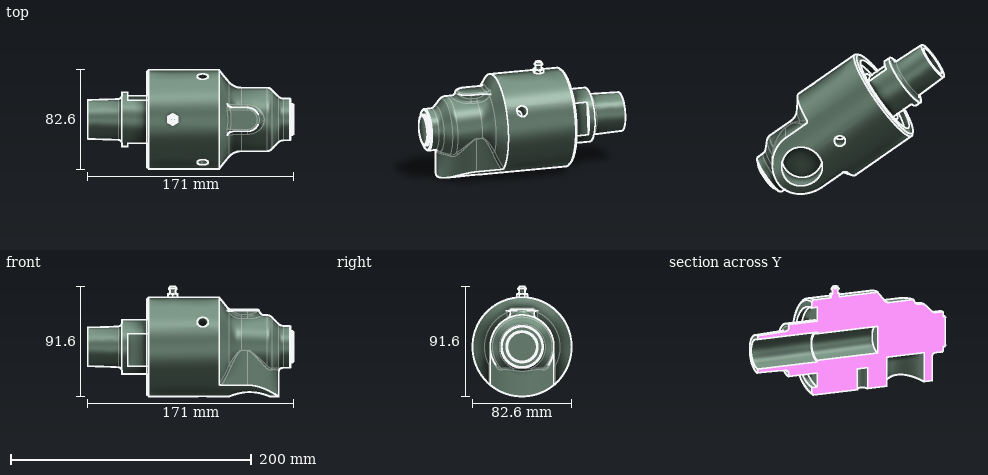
import cadquery as cq
import math

OVERALL_LENGTH = 171.0
OVERALL_HEIGHT = 91.57

NIPPLE_TIP_RADIUS = 16.25
NIPPLE_LENGTH = 25.3
PIPE_TAPER = 1 / 16
NIPPLE_FILLET = 3.1
COLLAR_RADIUS = 45.3 / 2
FLAT_START_X = 33.4
FLAT_END_X = 52.7
ACROSS_FLATS = 36.0
FLAT_TILT = 8.5

BODY_RADIUS = 82.6 / 2
BODY_START_X = 49.3
BODY_END_X = 109.1
BODY_CHAMFER = 1.6
RECESS_RADIUS = 34.2
RECESS_DEPTH = 5.0

NECK_RADIUS = 26.5
CONE_ANGLE = 51.0
SHOULDER_ANGLE = 45.0
NECK_FILLET_START_X = 117.1
NECK_END_X = 148.7
SHOULDER_FILLET = 5.7
END_BOSS_RADIUS = 35.0 / 2
END_BOSS_END_X = 168.8
END_BOSS_CHAMFER = 0.8
PILOT_RADIUS = 26.3 / 2
PILOT_CHAMFER = 1.0

BORE_RADIUS = 12.6
BORE_DEPTH = BODY_START_X + RECESS_DEPTH
INNER_BORE_RADIUS = 11.3
INNER_BORE_END_X = BODY_END_X

RADIAL_HOLE_DIAMETER = 9.0
RADIAL_HOLE_DEPTH = 18.0
RADIAL_HOLE_X = 95.6
RADIAL_HOLE_ANGLES = (30, 150, 270)

LUG_AXIS_X = 132.5
LUG_HALF_WIDTH = 26.35
LUG_FILLET = 2.5
PORT_X = 134.5
PORT_RADIUS = 16.9
PORT_DEPTH = 25.0

PAD_HEIGHT = 31.1
PAD_RADIUS = 10.0
PAD_TOP_FILLET = 2.0
PAD_BASE_FILLET = 4.0
PAD_STEP_FILLET = 3.5
PAD_STEP_END_X = 120.0

FITTING_X = 70.7
FITTING_EMBED = 1.0
HEX_ACROSS_FLATS = 8.0
HEX_TOP_Z = 43.9
HEX_CHAMFER = 0.5
HEX_TURN = 30
FITTING_NECK_RADIUS = 2.4
FITTING_FOOT_RADIUS = 3.0
FITTING_HEAD_RADIUS = 3.4
FITTING_TIP_RADIUS = 2.1
FITTING_HEAD_Z = 48.2
FITTING_HOLE_DIAMETER = 1.2
FITTING_HOLE_DEPTH = 1.5

TOLERANCE = 0.05


def x_cylinder(radius, start, end):
    """A cylinder on the rotor axis."""
    return cq.Workplane("YZ").workplane(offset=start).circle(radius).extrude(end - start)


def nipple_and_collar():
    """Tapered nipple and its collar, with two opposite wrench flats."""
    fillet_start_radius = NIPPLE_TIP_RADIUS + NIPPLE_LENGTH * PIPE_TAPER / 2
    collar_start = NIPPLE_LENGTH + NIPPLE_FILLET
    fillet_mid = NIPPLE_FILLET * math.sin(math.radians(45))
    collar_end = BODY_START_X + RECESS_DEPTH
    profile = (
        cq.Workplane("XY")
        .moveTo(0, 0)
        .lineTo(0, NIPPLE_TIP_RADIUS)
        .lineTo(NIPPLE_LENGTH, fillet_start_radius)
        .threePointArc(
            (NIPPLE_LENGTH + fillet_mid, fillet_start_radius + NIPPLE_FILLET - fillet_mid),
            (collar_start, fillet_start_radius + NIPPLE_FILLET),
        )
        .lineTo(collar_start, COLLAR_RADIUS)
        .lineTo(collar_end, COLLAR_RADIUS)
        .lineTo(collar_end, 0)
        .close()
    )
    solid = profile.revolve(360, (0, 0, 0), (1, 0, 0))
    flat_length = FLAT_END_X - FLAT_START_X
    for side in (1, -1):
        cutter = (
            cq.Workplane("XY")
            .box(flat_length, COLLAR_RADIUS, 2 * COLLAR_RADIUS)
            .translate(((FLAT_START_X + FLAT_END_X) / 2, side * (ACROSS_FLATS + COLLAR_RADIUS) / 2, 0))
            .rotate((0, 0, 0), (1, 0, 0), FLAT_TILT)
        )
        solid = solid.cut(cutter)
    return solid


def housing():
    """Body, cone, neck, shoulder and end boss as one turned solid."""
    cone = math.radians(CONE_ANGLE)
    cone_end_radius = BODY_RADIUS - (NECK_FILLET_START_X - BODY_END_X) * math.tan(cone)
    neck_fillet = (cone_end_radius - NECK_RADIUS) / (1 - math.cos(cone))
    neck_start = NECK_FILLET_START_X + neck_fillet * math.sin(cone)
    arc_mid = cone / 2

    shoulder = math.radians(SHOULDER_ANGLE)
    run = SHOULDER_FILLET * math.sin(shoulder)
    drop = SHOULDER_FILLET * (1 - math.cos(shoulder))
    mid_run = SHOULDER_FILLET * math.sin(shoulder / 2)
    mid_drop = SHOULDER_FILLET * (1 - math.cos(shoulder / 2))
    shoulder_length = (NECK_RADIUS - END_BOSS_RADIUS - 2 * drop) / math.tan(shoulder)
    cone_start = NECK_END_X + run
    boss_start = cone_start + shoulder_length + run

    return (
        cq.Workplane("XY")
        .moveTo(BODY_START_X, 0)
        .lineTo(BODY_START_X, BODY_RADIUS - BODY_CHAMFER)
        .lineTo(BODY_START_X + BODY_CHAMFER, BODY_RADIUS)
        .lineTo(BODY_END_X, BODY_RADIUS)
        .lineTo(NECK_FILLET_START_X, cone_end_radius)
        .threePointArc(
            (
                neck_start - neck_fillet * math.sin(arc_mid),
                NECK_RADIUS + neck_fillet * (1 - math.cos(arc_mid)),
            ),
            (neck_start, NECK_RADIUS),
        )
        .lineTo(NECK_END_X, NECK_RADIUS)
        .threePointArc((NECK_END_X + mid_run, NECK_RADIUS - mid_drop), (cone_start, NECK_RADIUS - drop))
        .lineTo(cone_start + shoulder_length, END_BOSS_RADIUS + drop)
        .threePointArc((boss_start - mid_run, END_BOSS_RADIUS + mid_drop), (boss_start, END_BOSS_RADIUS))
        .lineTo(END_BOSS_END_X - END_BOSS_CHAMFER, END_BOSS_RADIUS)
        .lineTo(END_BOSS_END_X, END_BOSS_RADIUS - END_BOSS_CHAMFER)
        .lineTo(END_BOSS_END_X, PILOT_RADIUS)
        .lineTo(OVERALL_LENGTH - PILOT_CHAMFER, PILOT_RADIUS)
        .lineTo(OVERALL_LENGTH, PILOT_RADIUS - PILOT_CHAMFER)
        .lineTo(OVERALL_LENGTH, 0)
        .close()
        .revolve(360, (0, 0, 0), (1, 0, 0))
    )


def edges_where(solid, test):
    """The edges of a solid whose bounding boxes pass a test."""
    return solid.newObject([edge for edge in solid.edges().vals() if test(edge.BoundingBox())])


def round_ended_bar(start_x, half_width, height):
    """A bar from start_x to a half-round end on the lug axis, standing or hanging on z = 0."""
    return (
        cq.Workplane("XY")
        .moveTo(start_x, half_width)
        .lineTo(LUG_AXIS_X, half_width)
        .threePointArc((LUG_AXIS_X + half_width, 0), (LUG_AXIS_X, -half_width))
        .lineTo(start_x, -half_width)
        .close()
        .extrude(height)
    )


def with_pad(solid):
    """Add the flat-topped pad, blended into the neck and the cone and rounded along its rim."""
    tall_height = PAD_HEIGHT + 2 * PAD_BASE_FILLET
    tall = solid.union(round_ended_bar(BODY_END_X, PAD_RADIUS, tall_height))

    def at_pad_base(box):
        on_pad = abs(box.ymax) < PAD_RADIUS + TOLERANCE and abs(box.ymin) < PAD_RADIUS + TOLERANCE
        along_neck = box.xmin > BODY_END_X + TOLERANCE and box.xmax < LUG_AXIS_X + PAD_RADIUS + TOLERANCE
        return on_pad and along_neck and box.xlen > TOLERANCE and 0 < box.zmin and box.zmax < PAD_HEIGHT

    tall = edges_where(tall, at_pad_base).fillet(PAD_BASE_FILLET)

    fillet_centre = (PAD_RADIUS + PAD_BASE_FILLET, NECK_RADIUS + PAD_BASE_FILLET)
    rim_z = PAD_HEIGHT - PAD_TOP_FILLET
    reach = PAD_BASE_FILLET + PAD_TOP_FILLET
    rise = fillet_centre[1] - rim_z
    rim_r = fillet_centre[0] - math.sqrt(reach**2 - rise**2)
    rim_end = math.asin(rise / reach)
    rim_mid = (rim_end + math.pi / 2) / 2
    clear_r = PAD_RADIUS + 2 * PAD_BASE_FILLET

    def trim_profile():
        return (
            cq.Workplane("YZ", origin=(LUG_AXIS_X, 0, 0))
            .moveTo(0, PAD_HEIGHT)
            .lineTo(rim_r, PAD_HEIGHT)
            .threePointArc(
                (rim_r + PAD_TOP_FILLET * math.cos(rim_mid), rim_z + PAD_TOP_FILLET * math.sin(rim_mid)),
                (rim_r + PAD_TOP_FILLET * math.cos(rim_end), rim_z + PAD_TOP_FILLET * math.sin(rim_end)),
            )
            .lineTo(clear_r, PAD_HEIGHT)
            .lineTo(clear_r, 2 * tall_height)
            .lineTo(0, 2 * tall_height)
            .close()
        )

    end_trim = trim_profile().revolve(180, (0, 1, 0), (0, 0, 0))
    side_trim = trim_profile().extrude(BODY_END_X - LUG_AXIS_X)
    trim = side_trim.union(side_trim.mirror("XZ")).union(end_trim)
    padded = tall.cut(trim).union(solid)

    def at_step_to_cone(box):
        level = box.zlen < TOLERANCE and abs(box.zmin - PAD_HEIGHT) < TOLERANCE
        return level and box.xmax < PAD_STEP_END_X

    return edges_where(padded, at_step_to_cone).fillet(PAD_STEP_FILLET)


def with_lug(solid):
    """Add the lug hanging below the neck, trimmed to the body cylinder and blended into the neck."""
    start_x = BODY_END_X - BODY_RADIUS / 2
    lug = round_ended_bar(start_x, LUG_HALF_WIDTH, -2 * BODY_RADIUS)
    lug = lug.intersect(x_cylinder(BODY_RADIUS, start_x, OVERALL_LENGTH))

    def at_neck(box):
        slanted = box.xlen > TOLERANCE and box.zlen > TOLERANCE
        behind_body = box.xmin > BODY_END_X - TOLERANCE
        above_rim = -BODY_RADIUS + TOLERANCE < box.zmin and box.zmax < 0
        return slanted and behind_body and above_rim

    return edges_where(solid.union(lug), at_neck).fillet(LUG_FILLET)


def radial_holes():
    """Cutters for the blind holes spaced evenly around the body."""
    holes = cq.Workplane("XY")
    for angle in RADIAL_HOLE_ANGLES:
        hole = (
            cq.Workplane("XZ", origin=(RADIAL_HOLE_X, 0, 0))
            .workplane(offset=-BODY_RADIUS)
            .circle(RADIAL_HOLE_DIAMETER / 2)
            .extrude(RADIAL_HOLE_DEPTH)
            .rotate((0, 0, 0), (1, 0, 0), angle)
        )
        holes = holes.add(hole)
    return holes.combine()


def port():
    """Cutter for the blind port in the underside of the lug."""
    mouth = cq.Workplane("XY", origin=(PORT_X, 0, -BODY_RADIUS))
    return mouth.circle(PORT_RADIUS).extrude(PORT_DEPTH)


def grease_fitting():
    """Hexagon and waisted nozzle standing on the body, with a small hole in the tip."""
    foot_z = BODY_RADIUS - FITTING_EMBED
    hex_corner = HEX_ACROSS_FLATS / math.sqrt(3)
    top_z = OVERALL_HEIGHT - BODY_RADIUS
    base = cq.Workplane("XY", origin=(FITTING_X, 0, foot_z))
    hexagon = base.polygon(6, 2 * hex_corner).extrude(HEX_TOP_Z - foot_z).rotate(
        (FITTING_X, 0, 0), (FITTING_X, 0, 1), HEX_TURN
    )
    trim = base.circle(hex_corner).extrude(HEX_TOP_Z - foot_z).faces(">Z").chamfer(HEX_CHAMFER)
    nozzle = (
        cq.Workplane("XZ")
        .moveTo(0, foot_z)
        .lineTo(FITTING_FOOT_RADIUS, foot_z)
        .lineTo(FITTING_FOOT_RADIUS, HEX_TOP_Z)
        .threePointArc(
            (FITTING_NECK_RADIUS, (HEX_TOP_Z + FITTING_HEAD_Z) / 2), (FITTING_HEAD_RADIUS, FITTING_HEAD_Z)
        )
        .lineTo(FITTING_TIP_RADIUS, top_z)
        .lineTo(0, top_z)
        .close()
        .revolve(360, (0, 0, 0), (0, 1, 0))
        .translate((FITTING_X, 0, 0))
    )
    return hexagon.intersect(trim).union(nozzle).faces(">Z").workplane().hole(
        FITTING_HOLE_DIAMETER, FITTING_HOLE_DEPTH
    )


result = with_lug(with_pad(housing()))
result = result.cut(x_cylinder(RECESS_RADIUS, BODY_START_X, BODY_START_X + RECESS_DEPTH))
result = result.union(nipple_and_collar())
result = result.cut(x_cylinder(BORE_RADIUS, 0, BORE_DEPTH))
result = result.cut(x_cylinder(INNER_BORE_RADIUS, 0, INNER_BORE_END_X))
result = result.cut(radial_holes())
result = result.cut(port())
result = result.union(grease_fitting())